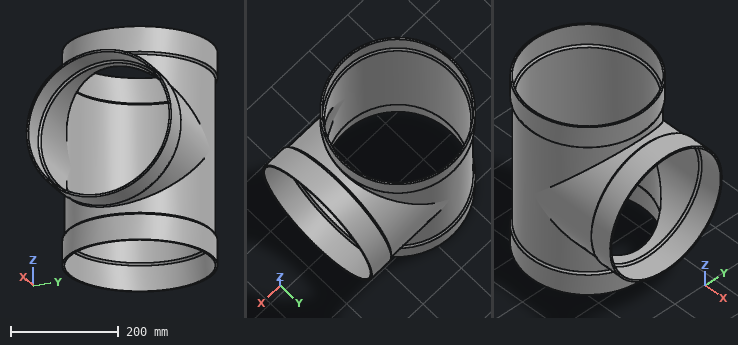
import cadquery as cq

height = 420.0
socket_diameter = 288.0
pipe_diameter = 280.0
bore_diameter = 272.0
socket_length = 50.0
taper_length = 4.0

half_height = height / 2
socket_start = half_height - socket_length
taper_start = socket_start - taper_length


def revolve_about_z(profile):
    """Turn a closed (radius, z) profile around the Z axis."""
    return cq.Workplane("XZ").polyline(profile).close().revolve(360, (0, 0, 0), (0, 1, 0))


def tee(end_diameter, middle_diameter):
    """Solid tee with a widened upper, lower and +X end."""
    end_radius = end_diameter / 2
    middle_radius = middle_diameter / 2
    upper_edge = [
        (middle_radius, taper_start),
        (end_radius, socket_start),
        (end_radius, half_height),
        (0, half_height),
    ]
    lower_edge = [(radius, -z) for radius, z in reversed(upper_edge)]
    main = revolve_about_z(lower_edge + upper_edge)
    branch = revolve_about_z([(0, 0), (middle_radius, 0)] + upper_edge)
    return main.union(branch.rotate((0, 0, 0), (0, 1, 0), 90))


outside = tee(socket_diameter, pipe_diameter)
inside = tee(pipe_diameter, bore_diameter)
result = outside.cut(inside)